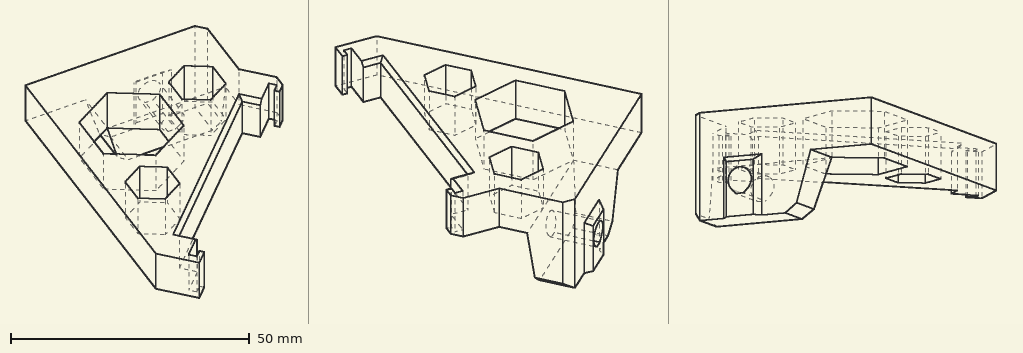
import cadquery as cq
import math

plate_thickness = 10.0
plate_depth = 42.0
bottom_edge_length = 59.2
corner_chamfer = 1.95
hook_root_x = 16.2
upper_hook_y = 47.85

clip_middle_along = 17.1
recess_across = 62.95
recess_half_along = 31.1
recess_chamfer = 1.0
seat_across = 68.55
slot_across = 71.05
slot_half_along = 39.55
lip_half_along = 37.0
lip_across = 72.65

hexagon_windows = [
    (16.0, 32.3, 12.0),
    (20.95, 14.15, 21.9),
    (39.2, 9.6, 11.45),
]

tongue_depth = 13.0
tongue_top_width = 10.0
tongue_bottom_width = 7.95
tongue_front_y = 14.15
tongue_knee_y = 17.45
tongue_toe_y = 20.1

key_height = 1.5
key_width = 8.8
key_bevel = 1.3
key_center_y = 30.0
hole_radius = 2.7
hole_z = -5.3
hole_drop = 2.9


def diagonal_point(across, along):
    """Convert distances across and along the diagonal edge to x, y."""
    return ((across + along) / 2, (across - along) / 2)


def clip_points(side):
    """Hook outline from recess corner to lip tip; side is -1 for the upper hook, 1 for the lower."""
    steps = [
        (recess_across, recess_half_along),
        (seat_across, recess_half_along),
        (seat_across, slot_half_along),
        (slot_across, slot_half_along),
        (slot_across, lip_half_along),
        (lip_across, lip_half_along),
    ]
    return [diagonal_point(across, clip_middle_along + side * half) for across, half in steps]


def make_plate():
    hook_rise = upper_hook_y - plate_depth
    outline = [
        (0, 0),
        (0, plate_depth - corner_chamfer),
        (corner_chamfer, plate_depth),
        (hook_root_x, plate_depth),
        (hook_root_x + hook_rise, upper_hook_y),
        (lip_across - upper_hook_y, upper_hook_y),
    ]
    outline += reversed(clip_points(-1))
    outline += clip_points(1)
    outline += [
        diagonal_point(lip_across, bottom_edge_length),
        (bottom_edge_length, 0),
    ]
    return cq.Workplane("XY").polyline(outline).close().extrude(plate_thickness)


def recess_section(height, growth):
    """Closed wire of the recess between the hooks, enlarged by growth on its walls."""
    spread = growth * math.sqrt(2)
    half = recess_half_along + spread
    corners = [
        (recess_across - spread, -half),
        (seat_across, -half),
        (seat_across, half),
        (recess_across - spread, half),
    ]
    points = [diagonal_point(across, clip_middle_along + offset) for across, offset in corners]
    return [cq.Vector(x, y, height) for x, y in points]


def make_recess_chamfer():
    lower = recess_section(plate_thickness - recess_chamfer, 0)
    upper = recess_section(plate_thickness, recess_chamfer)
    wires = [cq.Wire.makePolygon(points, close=True) for points in (lower, upper)]
    return cq.Workplane(obj=cq.Solid.makeLoft(wires, True))


def make_tongue():
    knee_z = corner_chamfer - tongue_depth
    side_profile = [
        (tongue_front_y, 0),
        (tongue_knee_y, knee_z),
        (tongue_toe_y, -tongue_depth),
        (plate_depth - corner_chamfer, -tongue_depth),
        (plate_depth, knee_z),
        (plate_depth, 0),
    ]
    tongue = cq.Workplane("YZ").polyline(side_profile).close().extrude(tongue_top_width)
    taper_profile = [
        (0, 0),
        (tongue_top_width, 0),
        (tongue_bottom_width, -tongue_depth),
        (0, -tongue_depth),
    ]
    taper = cq.Workplane("XZ").polyline(taper_profile).close().extrude(-plate_depth)
    corner = (
        cq.Workplane("XY")
        .polyline([(0, plate_depth), (corner_chamfer, plate_depth), (0, plate_depth - corner_chamfer)])
        .close()
        .extrude(-tongue_depth)
    )
    return tongue.intersect(taper).cut(corner)


def key_section(x, inset):
    half = key_width / 2 - inset
    corners = [
        (key_center_y - half, -tongue_depth),
        (key_center_y + half, -tongue_depth),
        (key_center_y + half, -inset),
        (key_center_y - half, -inset),
    ]
    return cq.Wire.makePolygon([cq.Vector(x, y, z) for y, z in corners], close=True)


def make_key():
    wires = [key_section(0, 0), key_section(-key_height, key_bevel)]
    return cq.Workplane(obj=cq.Solid.makeLoft(wires, True))


def make_cross_hole():
    """Round bore whose underside runs down 45 degree flanks to a narrow flat."""
    tangent = hole_radius / math.sqrt(2)
    flat_half = hole_radius * math.sqrt(2) - hole_drop
    return (
        cq.Workplane("YZ", origin=(-key_height, key_center_y, hole_z))
        .moveTo(-tangent, -tangent)
        .threePointArc((0, hole_radius), (tangent, -tangent))
        .lineTo(flat_half, -hole_drop)
        .lineTo(-flat_half, -hole_drop)
        .close()
        .extrude(key_height + tongue_top_width)
    )


result = make_plate().cut(make_recess_chamfer())
for x, y, width in hexagon_windows:
    window = cq.Workplane("XY").center(x, y).polygon(6, width).extrude(plate_thickness)
    result = result.cut(window)
result = result.union(make_tongue()).union(make_key()).cut(make_cross_hole())